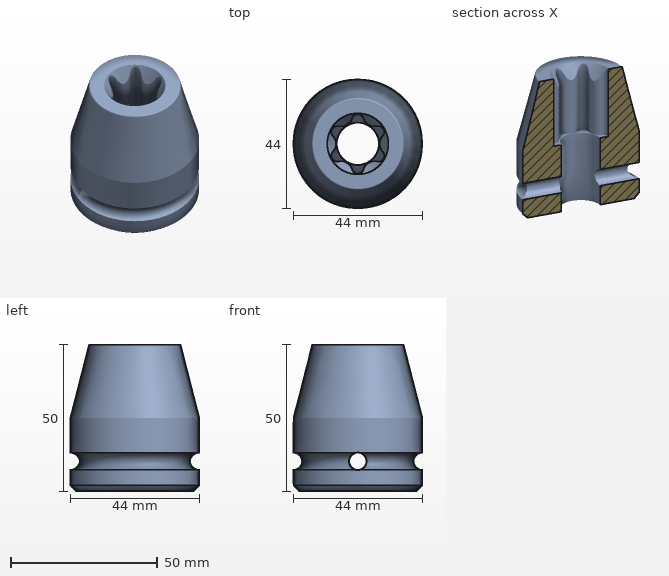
import cadquery as cq
import math

HEIGHT = 50.0
BODY_RADIUS = 22.0
NOSE_RADIUS = 15.6
CONE_START_Z = 25.0
NOSE_FILLET = 0.5
BASE_CHAMFER = 2.0

GROOVE_Z = 10.15
GROOVE_RADIUS = 2.95
PIN_HOLE_DIAMETER = 2 * GROOVE_RADIUS

LOBE_COUNT = 6
TIP_RADIUS = 10.15
WAIST_RADIUS = 7.45
TIP_ROUND = 2.0
SOCKET_DEPTH = HEIGHT - CONE_START_Z
LEAD_IN_RADIUS = 10.45
LEAD_IN_HALF_ANGLE = 30.0
BORE_RADIUS = 7.2


def polar(radius, angle_deg):
    """Point in the XY plane at a distance and direction from the axis."""
    angle = math.radians(angle_deg)
    return (radius * math.cos(angle), radius * math.sin(angle))


def make_body():
    """Revolved blank: chamfered base, cylinder and tapered nose."""
    profile = (
        cq.Workplane("XZ")
        .lineTo(BODY_RADIUS - BASE_CHAMFER, 0)
        .lineTo(BODY_RADIUS, BASE_CHAMFER)
        .lineTo(BODY_RADIUS, CONE_START_Z)
        .lineTo(NOSE_RADIUS, HEIGHT)
        .lineTo(0, HEIGHT)
        .close()
    )
    body = profile.revolve(360, (0, 0, 0), (0, 1, 0))
    return body.faces(">Z").edges().fillet(NOSE_FILLET)


def make_groove():
    """Ring of circular section, centred on the body surface."""
    section = cq.Workplane("XZ").center(BODY_RADIUS, GROOVE_Z).circle(GROOVE_RADIUS)
    return section.revolve(360, (-BODY_RADIUS, 0, 0), (-BODY_RADIUS, 1, 0))


def make_pin_hole():
    """Cylinder along Y through the whole body at the groove height."""
    axis = cq.Workplane("XZ").center(0, GROOVE_Z)
    return axis.circle(PIN_HOLE_DIAMETER / 2).extrude(BODY_RADIUS, both=True)


def make_lobed_socket():
    """Six-lobed prism of tip arcs tangent to the waist arcs between them."""
    pitch = 360 / LOBE_COUNT
    half_pitch = pitch / 2
    tip_centre = TIP_RADIUS - TIP_ROUND

    gap = WAIST_RADIUS - TIP_ROUND
    cos_half = math.cos(math.radians(half_pitch))
    waist_centre = (tip_centre**2 - gap**2) / (2 * (tip_centre * cos_half - gap))
    waist_round = waist_centre - WAIST_RADIUS

    share = TIP_ROUND / (TIP_ROUND + waist_round)
    waist_x, waist_y = polar(waist_centre, half_pitch)
    tangent_x = tip_centre + share * (waist_x - tip_centre)
    tangent_y = share * waist_y
    tangent_radius = math.hypot(tangent_x, tangent_y)
    tangent_angle = math.degrees(math.atan2(tangent_y, tangent_x))

    first_tip = half_pitch
    outline = cq.Workplane("XY").workplane(offset=HEIGHT - SOCKET_DEPTH)
    outline = outline.moveTo(*polar(tangent_radius, first_tip - tangent_angle))
    for index in range(LOBE_COUNT):
        tip = first_tip + index * pitch
        outline = outline.threePointArc(
            polar(TIP_RADIUS, tip),
            polar(tangent_radius, tip + tangent_angle),
        )
        outline = outline.threePointArc(
            polar(WAIST_RADIUS, tip + half_pitch),
            polar(tangent_radius, tip + pitch - tangent_angle),
        )
    return outline.close().extrude(SOCKET_DEPTH)


def make_lead_in():
    """Cone that opens the socket mouth, with its point on the axis."""
    depth = LEAD_IN_RADIUS / math.tan(math.radians(LEAD_IN_HALF_ANGLE))
    triangle = (
        cq.Workplane("XZ")
        .moveTo(0, HEIGHT - depth)
        .lineTo(LEAD_IN_RADIUS, HEIGHT)
        .lineTo(0, HEIGHT)
        .close()
    )
    return triangle.revolve(360, (0, 0, 0), (0, 1, 0))


def make_bore():
    """Round bore through the full height."""
    return cq.Workplane("XY").circle(BORE_RADIUS).extrude(HEIGHT)


result = (
    make_body()
    .cut(make_groove())
    .cut(make_lobed_socket())
    .cut(make_lead_in())
    .cut(make_bore())
    .cut(make_pin_hole())
)